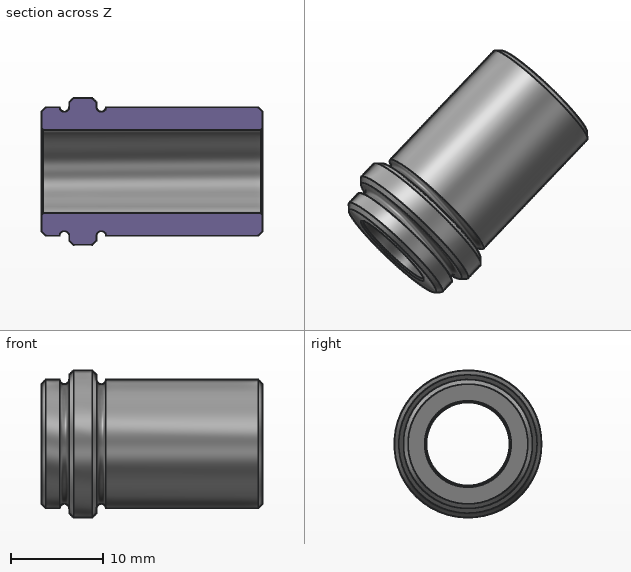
import cadquery as cq

length = 24.0
body_radius = 14.0 / 2
bore_radius = 9.0 / 2

collar_radius = 16.0 / 2
collar_start = 3.0
collar_width = 3.0
collar_end = collar_start + collar_width

groove_radius = 0.5
groove_width = 2 * groove_radius

outer_chamfer = 0.5
bore_chamfer = 0.2


def relief_groove(profile, start):
    """Continue the profile along +X through a half-round groove in the body surface."""
    bottom = (start + groove_radius, body_radius - groove_radius)
    return profile.threePointArc(bottom, (start + groove_width, body_radius))


def outer_profile():
    """Half section of the sleeve without its bore, in the XY plane above the X axis."""
    profile = (
        cq.Workplane("XY")
        .moveTo(0, 0)
        .lineTo(0, body_radius - outer_chamfer)
        .lineTo(outer_chamfer, body_radius)
        .lineTo(collar_start - groove_width, body_radius)
    )
    profile = relief_groove(profile, collar_start - groove_width)
    profile = (
        profile.lineTo(collar_start, collar_radius - outer_chamfer)
        .lineTo(collar_start + outer_chamfer, collar_radius)
        .lineTo(collar_end - outer_chamfer, collar_radius)
        .lineTo(collar_end, collar_radius - outer_chamfer)
        .lineTo(collar_end, body_radius)
    )
    profile = relief_groove(profile, collar_end)
    return (
        profile.lineTo(length - outer_chamfer, body_radius)
        .lineTo(length, body_radius - outer_chamfer)
        .lineTo(length, 0)
        .close()
    )


def bore_profile():
    """Half section of the through bore, with a chamfered mouth at each end."""
    mouth_radius = bore_radius + bore_chamfer
    return (
        cq.Workplane("XY")
        .moveTo(0, 0)
        .lineTo(0, mouth_radius)
        .lineTo(bore_chamfer, bore_radius)
        .lineTo(length - bore_chamfer, bore_radius)
        .lineTo(length, mouth_radius)
        .lineTo(length, 0)
        .close()
    )


def revolve_about_x(profile):
    return profile.revolve(360, (0, 0, 0), (1, 0, 0))


result = revolve_about_x(outer_profile()).cut(revolve_about_x(bore_profile()))